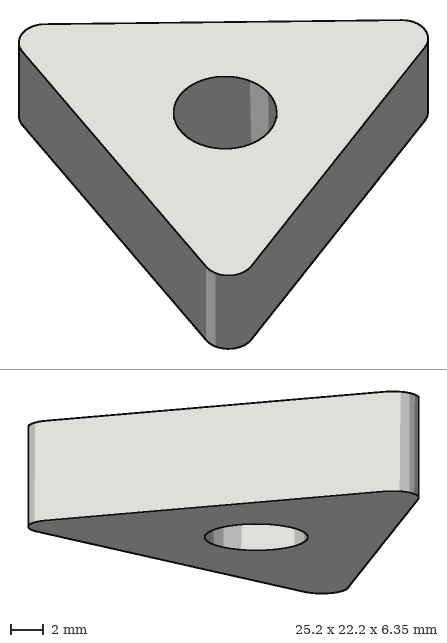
import cadquery as cq
import math

overall_width = 25.15
thickness = 6.35
corner_radius = 1.6
hole_diameter = 6.35

corner_spacing = overall_width - 2 * corner_radius
corner_circle_radius = corner_spacing / math.sqrt(3)

sharp_circle_radius = corner_circle_radius + 2 * corner_radius
sharp_corners = [
    (sharp_circle_radius * math.cos(math.radians(angle)), sharp_circle_radius * math.sin(math.radians(angle)))
    for angle in (90, 210, 330)
]

plate = cq.Workplane("XY").polyline(sharp_corners).close().extrude(thickness)
plate = plate.edges("|Z").fillet(corner_radius)

result = plate.faces(">Z").workplane(origin=(0, 0, thickness)).hole(hole_diameter)